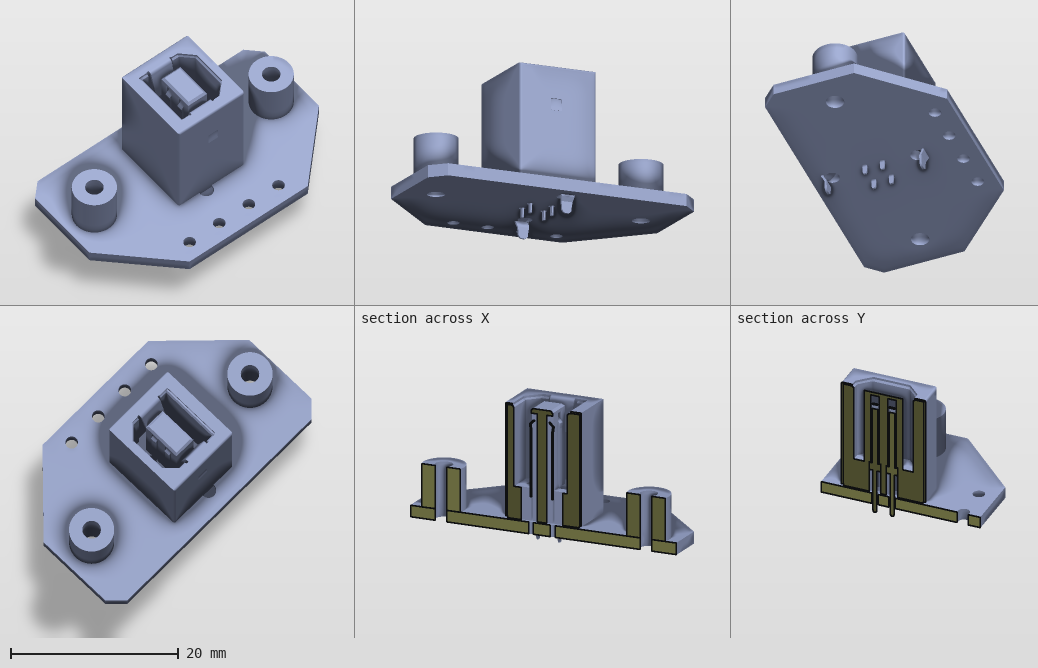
import cadquery as cq
import math


BOARD_LENGTH = 35.03
BOARD_LEFT = -8.1
BOARD_RIGHT = 12.58
BOARD_THICKNESS = 1.5
SMALL_CORNER = 1.82
LARGE_CORNER = 8.5
WIRE_HOLE_DIAMETER = 1.5
WIRE_HOLE_PITCH = 4.52
WIRE_HOLE_COUNT = 4
WIRE_HOLE_X = 10.3
WIRE_ROW_MIDDLE_Y = -0.42
PIN_HOLE_DIAMETER = 0.8
LEG_HOLE_DIAMETER = 1.82

STANDOFF_DIAMETER = 5.4
STANDOFF_HEIGHT = 5.4
STANDOFF_BORE = 2.2
STANDOFF_Y = 13.5

SHELL_X = 11.0
SHELL_Y = 10.02
SHELL_TOP = 14.55
SHELL_BOTTOM = 0.3
SHEET = 0.28
SHELL_BEND = 0.28
MOUTH_CORNER_RADIUS = 0.18
SHELL_MOUTH_BOTTOM = -3.55

LATCH_TOP = 10.55
LATCH_BOTTOM = 9.07
LATCH_SINK = 0.15
LATCH_RISE = 0.05
LATCH_Y = 0.2
LATCH_WIDTH = 1.45

LEG_Y = -0.8
LEG_WIDTH = 1.75
LEG_TIP_WIDTH = 1.25
LEG_TAPER_END = -2.98
LEG_TIP_Z = -3.7
LEG_TIP_RADIUS = 0.53
LEG_KNEE_X = 6.6
LEG_KNEE_BOTTOM = -1.68
LEG_STRAIGHT_X = 6.25
LEG_STRAIGHT_TOP = -2.28

SPRING_Y = -0.35
SPRING_WIDTH = 3.15
SPRING_END_WIDTH = 2.95
SPRING_TILT = 14.0
SPRING_BEND = 0.45
SPRING_END_X = 2.7
RELIEF_WIDTH = 0.28
RELIEF_X = 4.15

INSULATOR_BOTTOM = 0.1
MOUTH_HALF_X = 4.03
MOUTH_Y_MIN = -3.33
MOUTH_Y_MAX = 4.05
MOUTH_CORNER = 1.65
LEAD_IN = 0.2
CAVITY_CORNER = 1.4
FLOOR_TOP = 4.2
TONGUE_X = 5.1
TONGUE_Y = 2.87
TONGUE_MIDDLE_Y = 0.2
TONGUE_TOP = 14.25
TONGUE_CHAMFER = 0.28
SLOT_WIDTH = 1.05
SLOT_TOP = 13.6
SLOT_DEPTH = 0.77
FLOOR_SLOT_REACH = 1.25

CONTACT_X = 1.12
CONTACT_SHEET = 0.25
CONTACT_FACE = 0.1
BULGE_FACE = 0.2
BULGE_Z = 12.25
BULGE_FOOT_Z = 11.55
CONTACT_TOP = 12.82
CONTACT_RECESS = 0.35
BLADE_WIDTH = 0.77
SHOULDER_WIDTH = 1.45
SHOULDER_HEIGHT = 1.05
PIN_WIDTH = 0.55
PIN_TIP_WIDTH = 0.35
PIN_TAPER_TOP = -2.35
PIN_TIP_Z = -2.65

insulator_top = SHELL_TOP - SHEET
shell_half_x = SHELL_X / 2
insulator_x = SHELL_X - 2 * SHEET
insulator_y = SHELL_Y - 2 * SHEET
tongue_half_y = TONGUE_Y / 2
contact_y = tongue_half_y + CONTACT_FACE - CONTACT_SHEET / 2
standoff_points = [(0, STANDOFF_Y), (0, -STANDOFF_Y)]
contact_seats = [(x, side) for x in (-CONTACT_X, CONTACT_X) for side in (1, -1)]


def block(x_min, x_max, y_min, y_max, z_min, z_max):
    """Box given by its limits along each axis."""
    size = (x_max - x_min, y_max - y_min, z_max - z_min)
    return cq.Workplane("XY").box(*size, centered=False).translate((x_min, y_min, z_min))


def prism_along_y(points, y_middle, width):
    """Closed X-Z outline thickened evenly about y_middle."""
    outline = cq.Workplane("XZ").polyline(points).close()
    return outline.extrude(width / 2, both=True).translate((0, y_middle, 0))


def prism_along_x(points, x_middle, width):
    """Closed Y-Z outline thickened evenly about x_middle."""
    outline = cq.Workplane("YZ").polyline(points).close()
    return outline.extrude(width / 2, both=True).translate((x_middle, 0, 0))


def strip_outline(face, thickness):
    """Outline of a bent strip: its outer face, and the same path moved inward."""
    return face + [(across - thickness, z) for across, z in reversed(face)]


def both_sides(body):
    """The body on the +X side joined with its mirror image on the -X side."""
    return body.union(body.mirror("YZ"))


def mouth_points(half_x, y_min, y_max, corner):
    """Rectangle with its two +Y corners cut off."""
    return [
        (-half_x, y_min),
        (half_x, y_min),
        (half_x, y_max - corner),
        (half_x - corner, y_max),
        (-half_x + corner, y_max),
        (-half_x, y_max - corner),
    ]


def place_contact(body, x, side):
    """Move a body made for the +Y face of a centered tongue to its place; side -1 is the -Y face."""
    facing = body if side > 0 else body.mirror("XZ")
    return facing.translate((x, TONGUE_MIDDLE_Y, 0))


def make_legs():
    face = [
        (shell_half_x, SHELL_BOTTOM),
        (shell_half_x, 0),
        (LEG_KNEE_X, -BOARD_THICKNESS),
        (LEG_KNEE_X, LEG_KNEE_BOTTOM),
        (LEG_STRAIGHT_X, LEG_STRAIGHT_TOP),
        (LEG_STRAIGHT_X, LEG_TIP_Z),
    ]
    strip = prism_along_y(strip_outline(face, SHEET), LEG_Y, LEG_WIDTH)
    half_width = LEG_WIDTH / 2
    half_tip = LEG_TIP_WIDTH / 2
    tapered = prism_along_x(
        [
            (LEG_Y - half_width, SHELL_BOTTOM),
            (LEG_Y - half_width, -BOARD_THICKNESS),
            (LEG_Y - half_tip, LEG_TAPER_END),
            (LEG_Y - half_tip, LEG_TIP_Z),
            (LEG_Y + half_tip, LEG_TIP_Z),
            (LEG_Y + half_tip, LEG_TAPER_END),
            (LEG_Y + half_width, -BOARD_THICKNESS),
            (LEG_Y + half_width, SHELL_BOTTOM),
        ],
        LEG_KNEE_X,
        shell_half_x,
    )
    tapered = tapered.faces("<Z").edges("|X").fillet(LEG_TIP_RADIUS)
    return both_sides(strip.intersect(tapered))


def make_springs():
    tilt = math.radians(SPRING_TILT)
    out_x = math.cos(tilt)
    up_z = math.sin(tilt)
    half_out_x = math.cos((tilt + math.pi / 2) / 2)
    half_up_z = math.sin((tilt + math.pi / 2) / 2)
    center_z = SHELL_TOP - SPRING_BEND

    def on_bend(radius, along_x, along_z):
        return (MOUTH_HALF_X - radius * along_x, center_z + radius * along_z)

    inner_radius = SPRING_BEND - SHEET
    face_start = on_bend(SPRING_BEND, out_x, up_z)
    back_start = on_bend(inner_radius, out_x, up_z)
    drop = (face_start[0] - SPRING_END_X) / math.tan(tilt)
    shift_x = SPRING_END_X - face_start[0]
    end_z = face_start[1] - drop
    leaf = (
        cq.Workplane("XZ")
        .moveTo(MOUTH_HALF_X, SHELL_TOP)
        .threePointArc(on_bend(SPRING_BEND, half_out_x, half_up_z), face_start)
        .lineTo(SPRING_END_X, end_z)
        .lineTo(back_start[0] + shift_x, back_start[1] - drop)
        .lineTo(*back_start)
        .threePointArc(on_bend(inner_radius, half_out_x, half_up_z), (MOUTH_HALF_X, insulator_top))
        .close()
        .extrude(SPRING_WIDTH / 2, both=True)
        .translate((0, SPRING_Y, 0))
    )
    half_root = SPRING_WIDTH / 2
    half_end = SPRING_END_WIDTH / 2
    low_z = end_z - SHEET
    tapered = prism_along_x(
        [
            (SPRING_Y - half_root, SHELL_TOP),
            (SPRING_Y - half_end, low_z),
            (SPRING_Y + half_end, low_z),
            (SPRING_Y + half_root, SHELL_TOP),
        ],
        MOUTH_HALF_X,
        shell_half_x,
    )
    return both_sides(leaf.intersect(tapered))


def make_latch_windows():
    half_width = LATCH_WIDTH / 2
    window = block(
        shell_half_x - SHEET,
        shell_half_x,
        LATCH_Y - half_width,
        LATCH_Y + half_width,
        LATCH_BOTTOM,
        LATCH_TOP,
    )
    return both_sides(window)


def make_latches():
    tab = [
        (shell_half_x - SHEET, LATCH_BOTTOM),
        (shell_half_x + LATCH_RISE, LATCH_BOTTOM),
        (shell_half_x - LATCH_SINK, LATCH_TOP),
        (shell_half_x - SHEET, LATCH_TOP),
    ]
    return both_sides(prism_along_y(tab, LATCH_Y, LATCH_WIDTH))


def make_shell():
    height = SHELL_TOP - SHELL_BOTTOM
    can = cq.Workplane("XY").box(SHELL_X, SHELL_Y, height, centered=(True, True, False))
    can = can.edges("|Z").fillet(SHELL_BEND)
    bent_top = cq.Workplane("XY").box(SHELL_X, SHELL_Y, height, centered=(True, True, False))
    bent_top = bent_top.faces(">Z").edges("|Y").fillet(SHELL_BEND)
    can = can.intersect(bent_top).translate((0, 0, SHELL_BOTTOM))
    inside = cq.Workplane("XY").box(insulator_x, insulator_y, insulator_top, centered=(True, True, False))
    can = can.cut(inside)

    outline = mouth_points(MOUTH_HALF_X, SHELL_MOUTH_BOTTOM, MOUTH_Y_MAX, MOUTH_CORNER)
    mouth = cq.Workplane("XY").workplane(offset=insulator_top).polyline(outline).close().extrude(SHEET)
    can = can.cut(mouth.faces("<Y").edges("|Z").fillet(MOUTH_CORNER_RADIUS))
    for side in (1, -1):
        relief_y = SPRING_Y + side * (SPRING_WIDTH + RELIEF_WIDTH) / 2
        y_min = relief_y - RELIEF_WIDTH / 2
        y_max = relief_y + RELIEF_WIDTH / 2
        can = can.cut(block(-RELIEF_X, RELIEF_X, y_min, y_max, insulator_top, SHELL_TOP))
    can = can.cut(make_latch_windows()).union(make_latches())
    return can.union(make_springs()).union(make_legs())


def make_tongue():
    tongue = (
        cq.Workplane("XY")
        .box(TONGUE_X, TONGUE_Y, TONGUE_TOP - FLOOR_TOP, centered=(True, True, False))
        .faces(">Z")
        .chamfer(TONGUE_CHAMFER)
    )
    return tongue.translate((0, TONGUE_MIDDLE_Y, FLOOR_TOP))


def make_contact_seat(x, side):
    """Slot in the tongue and floor for one contact, with a wider notch for its shoulders."""
    half_slot = SLOT_WIDTH / 2
    half_shoulder = SHOULDER_WIDTH / 2
    slot_back = tongue_half_y - SLOT_DEPTH
    face = tongue_half_y + CONTACT_FACE
    tongue_slot = block(-half_slot, half_slot, slot_back, tongue_half_y, 0, SLOT_TOP)
    floor_slot = block(-half_slot, half_slot, slot_back, tongue_half_y + FLOOR_SLOT_REACH, 0, FLOOR_TOP)
    notch = block(-half_shoulder, half_shoulder, face - CONTACT_SHEET, face, 0, FLOOR_TOP)
    return place_contact(tongue_slot.union(floor_slot).union(notch), x, side)


def make_insulator():
    height = insulator_top - INSULATOR_BOTTOM
    body = cq.Workplane("XY").box(insulator_x, insulator_y, height, centered=(True, True, False))
    body = body.translate((0, 0, INSULATOR_BOTTOM))
    mouth = mouth_points(MOUTH_HALF_X, MOUTH_Y_MIN, MOUTH_Y_MAX, MOUTH_CORNER)
    walls = mouth_points(
        MOUTH_HALF_X - LEAD_IN, MOUTH_Y_MIN + LEAD_IN, MOUTH_Y_MAX - LEAD_IN, CAVITY_CORNER
    )
    lead_in = (
        cq.Workplane("XY")
        .workplane(offset=insulator_top - LEAD_IN)
        .polyline(walls)
        .close()
        .workplane(offset=LEAD_IN)
        .polyline(mouth)
        .close()
        .loft(ruled=True)
    )
    cavity = cq.Workplane("XY").workplane(offset=FLOOR_TOP).polyline(walls).close()
    body = body.cut(cavity.extrude(insulator_top - FLOOR_TOP)).cut(lead_in)
    pocket_half_y = SPRING_WIDTH / 2 + RELIEF_WIDTH
    y_min = SPRING_Y - pocket_half_y
    y_max = SPRING_Y + pocket_half_y
    body = body.cut(block(-RELIEF_X, RELIEF_X, y_min, y_max, FLOOR_TOP, insulator_top))
    body = body.union(make_tongue())
    for x, side in contact_seats:
        body = body.cut(make_contact_seat(x, side))
    return body


def make_contact(x, side):
    face_y = tongue_half_y + CONTACT_FACE
    face = [
        (tongue_half_y - CONTACT_RECESS, CONTACT_TOP),
        (tongue_half_y + BULGE_FACE, BULGE_Z),
        (face_y, BULGE_FOOT_Z),
        (face_y, PIN_TIP_Z),
    ]
    strip = prism_along_x(strip_outline(face, CONTACT_SHEET), 0, SHOULDER_WIDTH)
    half_outline = [
        (BLADE_WIDTH / 2, CONTACT_TOP),
        (BLADE_WIDTH / 2, FLOOR_TOP),
        (SHOULDER_WIDTH / 2, FLOOR_TOP),
        (SHOULDER_WIDTH / 2, FLOOR_TOP - SHOULDER_HEIGHT),
        (PIN_WIDTH / 2, FLOOR_TOP - SHOULDER_HEIGHT),
        (PIN_WIDTH / 2, PIN_TAPER_TOP),
        (PIN_TIP_WIDTH / 2, PIN_TIP_Z),
    ]
    outline = half_outline + [(-across, z) for across, z in reversed(half_outline)]
    blade = strip.intersect(prism_along_y(outline, tongue_half_y, TONGUE_Y))
    return place_contact(blade, x, side)


def make_standoff(x, y):
    ring = cq.Workplane("XY").circle(STANDOFF_DIAMETER / 2).circle(STANDOFF_BORE / 2)
    return ring.extrude(STANDOFF_HEIGHT).translate((x, y, 0))


def drill(plate, points, diameter):
    holes = cq.Workplane("XY").pushPoints(points).circle(diameter / 2).extrude(-BOARD_THICKNESS)
    return plate.cut(holes)


def make_board():
    half_length = BOARD_LENGTH / 2
    outline = [
        (BOARD_LEFT, -half_length + SMALL_CORNER),
        (BOARD_LEFT + SMALL_CORNER, -half_length),
        (BOARD_RIGHT - LARGE_CORNER, -half_length),
        (BOARD_RIGHT, -half_length + LARGE_CORNER),
        (BOARD_RIGHT, half_length - LARGE_CORNER),
        (BOARD_RIGHT - LARGE_CORNER, half_length),
        (BOARD_LEFT + SMALL_CORNER, half_length),
        (BOARD_LEFT, half_length - SMALL_CORNER),
    ]
    plate = cq.Workplane("XY").polyline(outline).close().extrude(-BOARD_THICKNESS)
    first_wire_y = WIRE_ROW_MIDDLE_Y - WIRE_HOLE_PITCH * (WIRE_HOLE_COUNT - 1) / 2
    wire_points = [(WIRE_HOLE_X, first_wire_y + i * WIRE_HOLE_PITCH) for i in range(WIRE_HOLE_COUNT)]
    pin_points = [(x, TONGUE_MIDDLE_Y + side * contact_y) for x, side in contact_seats]
    leg_points = [(shell_half_x, LEG_Y), (-shell_half_x, LEG_Y)]
    plate = drill(plate, standoff_points, STANDOFF_BORE)
    plate = drill(plate, wire_points, WIRE_HOLE_DIAMETER)
    plate = drill(plate, pin_points, PIN_HOLE_DIAMETER)
    plate = drill(plate, leg_points, LEG_HOLE_DIAMETER)
    return plate.cut(make_legs())


board = make_board()
shell = make_shell()
insulator = make_insulator()
standoffs = [make_standoff(x, y) for x, y in standoff_points]
contacts = [make_contact(x, side) for x, side in contact_seats]

result = cq.Compound.makeCompound(
    [
        board.solids().val(),
        shell.solids().val(),
        insulator.solids().val(),
        *[standoff.solids().val() for standoff in standoffs],
        *[contact.solids().val() for contact in contacts],
    ]
)